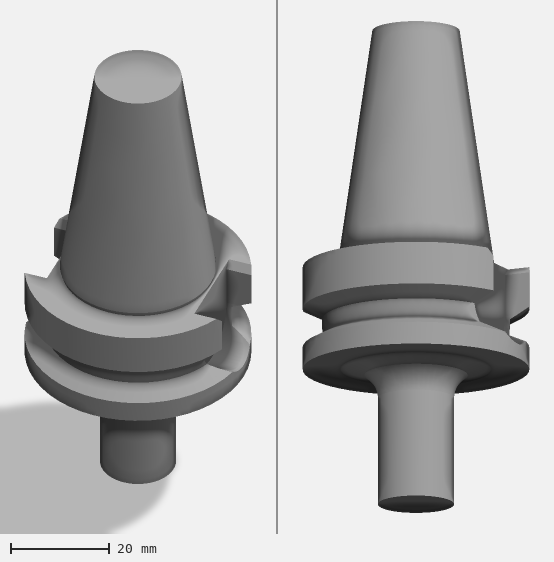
import cadquery as cq
import math

total_height = 98.4
shank_top = 22.0
flare_arc_top = 26.8
flange_bottom = 28.0
lower_rim_top = 32.6
groove_bottom = 34.7
groove_top = 38.4
upper_rim_bottom = 40.5
flange_top = 49.2
taper_bottom = 50.1

shank_radius = 15.4 / 2
flare_radius = 15.35
flange_radius = 46.0 / 2
groove_radius = 19.0
neck_radius = 31.2 / 2
taper_large_radius = 15.8
taper_small_radius = 8.9

flare_arc_radius = 5.4

slot_half_width = 8.2
slot_floor_x = 16.0
slot_bottom = 31.0
slot_chamfer = 1.5
slot_arc_center = slot_bottom + slot_half_width


def turned_body():
    """Revolve the half profile of shank, flange and taper about Z."""
    arc_center_r = shank_radius + flare_arc_radius
    arc_end_angle = math.asin((flare_arc_top - shank_top) / flare_arc_radius)

    def arc_point(angle):
        return (
            arc_center_r - flare_arc_radius * math.cos(angle),
            shank_top + flare_arc_radius * math.sin(angle),
        )

    profile = (
        cq.Workplane("XZ")
        .lineTo(shank_radius, 0)
        .lineTo(shank_radius, shank_top)
        .threePointArc(arc_point(arc_end_angle / 2), arc_point(arc_end_angle))
        .lineTo(flare_radius, flange_bottom)
        .lineTo(flange_radius, flange_bottom)
        .lineTo(flange_radius, lower_rim_top)
        .lineTo(groove_radius, groove_bottom)
        .lineTo(groove_radius, groove_top)
        .lineTo(flange_radius, upper_rim_bottom)
        .lineTo(flange_radius, flange_top)
        .lineTo(neck_radius, flange_top)
        .lineTo(neck_radius, taper_bottom)
        .lineTo(taper_large_radius, taper_bottom)
        .lineTo(taper_small_radius, total_height)
        .lineTo(0, total_height)
        .close()
    )
    return profile.revolve(360, (0, 0, 0), (0, 1, 0))


def drive_slot():
    """Round-bottomed slot cutter on the +X side, flared at the flange top."""
    mouth_half_width = slot_half_width + slot_chamfer
    chamfer_bottom = flange_top - slot_chamfer
    return (
        cq.Workplane("YZ", origin=(slot_floor_x, 0, 0))
        .moveTo(-mouth_half_width, flange_top)
        .lineTo(-slot_half_width, chamfer_bottom)
        .lineTo(-slot_half_width, slot_arc_center)
        .threePointArc((0, slot_bottom), (slot_half_width, slot_arc_center))
        .lineTo(slot_half_width, chamfer_bottom)
        .lineTo(mouth_half_width, flange_top)
        .close()
        .extrude(flange_radius)
    )


result = turned_body()
for slot_angle in (0, 180):
    result = result.cut(drive_slot().rotate((0, 0, 0), (0, 0, 1), slot_angle))